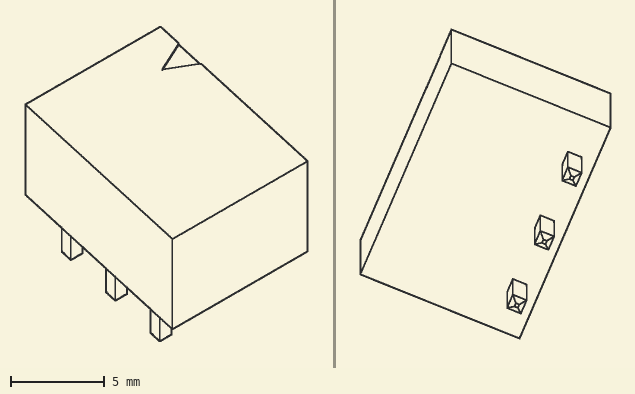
import cadquery as cq

HOUSING_LENGTH = 12.62
HOUSING_WIDTH = 9.2
HOUSING_HEIGHT = 7.0

MARK_BASE = 1.9
MARK_REACH = 1.9
MARK_DEPTH = 0.1
MARK_X = -HOUSING_LENGTH / 2 + HOUSING_LENGTH / 5

PIN_COUNT = 3
PIN_PITCH = 3.81
PIN_SIZE = 0.8
PIN_LENGTH = 3.5
PIN_TIP_CHAMFER = 0.3
PIN_EDGE_DISTANCE = 1.2
PIN_Y = -HOUSING_WIDTH / 2 + PIN_EDGE_DISTANCE


def make_mark_cutter():
    back = HOUSING_WIDTH / 2
    return (
        cq.Workplane("XY", origin=(MARK_X, back, HOUSING_HEIGHT))
        .moveTo(-MARK_BASE / 2, 0)
        .lineTo(MARK_BASE / 2, 0)
        .lineTo(0, -MARK_REACH)
        .close()
        .extrude(-MARK_DEPTH)
    )


def make_housing():
    block = cq.Workplane("XY").box(
        HOUSING_LENGTH, HOUSING_WIDTH, HOUSING_HEIGHT, centered=(True, True, False)
    )
    return block.cut(make_mark_cutter())


def make_pin(x):
    """Square pin hanging from the underside of the housing, chamfered at its lower end."""
    return (
        cq.Workplane("XY", origin=(x, PIN_Y, 0))
        .rect(PIN_SIZE, PIN_SIZE)
        .extrude(-PIN_LENGTH)
        .faces("<Z")
        .chamfer(PIN_TIP_CHAMFER)
    )


housing = make_housing()

first_pin_x = -PIN_PITCH * (PIN_COUNT - 1) / 2
pins = [make_pin(first_pin_x + i * PIN_PITCH) for i in range(PIN_COUNT)]

result = cq.Compound.makeCompound([housing.val(), *[pin.val() for pin in pins]])